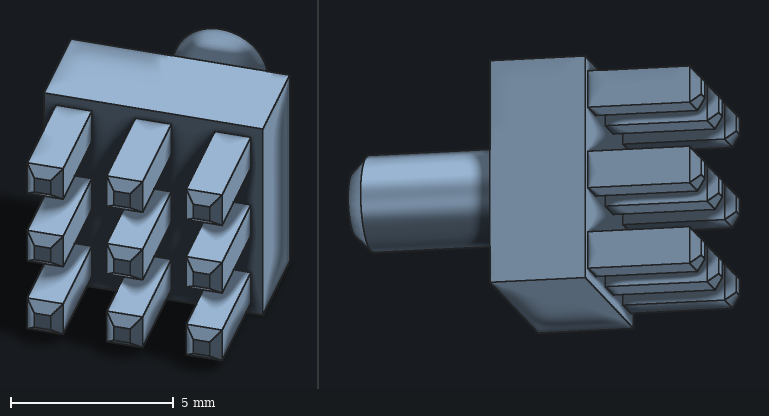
import cadquery as cq

body_side = 7.0
body_thickness = 3.0

stud_diameter = 3.0
stud_length = 5.0
stud_chamfer = 0.51

overall_length = 11.5
pin_length = overall_length - body_thickness - stud_length
pin_width = 1.15
pin_pitch = 2.54
pins_per_side = 3
pin_tip_width = 0.53
pin_tip_length = 0.3


def make_body():
    """Square plate from Y = 0 to Y = body_thickness."""
    return cq.Workplane("XY").box(
        body_side, body_thickness, body_side, centered=(True, False, True)
    )


def make_stud():
    """Cylinder on the back face with a chamfered free end."""
    stud = (
        cq.Workplane("XZ", origin=(0, body_thickness, 0))
        .circle(stud_diameter / 2)
        .extrude(-stud_length)
    )
    return stud.faces(">Y").chamfer(stud_chamfer)


def make_pin():
    """Square pin along -Y, ending in a flat-topped pyramid tip."""
    shank_length = pin_length - pin_tip_length
    shank = cq.Workplane("XZ").rect(pin_width, pin_width).extrude(shank_length)
    tip = (
        cq.Workplane("XZ", origin=(0, -shank_length, 0))
        .rect(pin_width, pin_width)
        .workplane(offset=pin_tip_length)
        .rect(pin_tip_width, pin_tip_width)
        .loft(ruled=True)
    )
    return shank.union(tip)


result = make_body().union(make_stud())

pin = make_pin()
first_pin = -pin_pitch * (pins_per_side - 1) / 2
for column in range(pins_per_side):
    for row in range(pins_per_side):
        x = first_pin + column * pin_pitch
        z = first_pin + row * pin_pitch
        result = result.union(pin.translate((x, 0, z)))